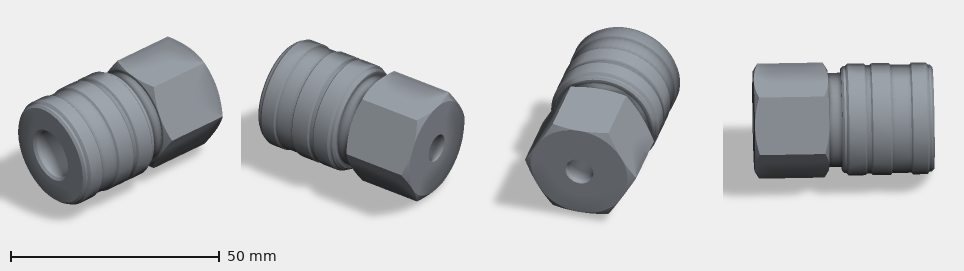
import cadquery as cq
import math

length = 43.0
hex_flats = 24.0
hex_start = 25.2
hex_chamfer_angle = 30.0
neck_radius = 11.25

sleeve_length = 22.05
band_diameter = 26.8
band_radius = band_diameter / 2
groove_radius = 13.0
lip_radius = 12.8
lip_chamfer = 0.55
lip_land = 0.5
shoulder_length = 0.55
band_edge_length = 0.4
front_band_end = 5.5
middle_band_start = 10.0
middle_band_end = 15.1
rear_band_start = 16.1

socket_radius = 6.0
socket_chamfer = 0.6
socket_depth = sleeve_length
passage_radius = 3.5


def revolve_profile(points):
    """Turn a half profile of (radius, y) points around the Y axis."""
    profile = cq.Workplane("XY").polyline(points).close()
    return profile.revolve(360, (0, 0, 0), (0, 1, 0))


def make_hexagon():
    """Hexagonal wrench section with conical chamfers at both ends."""
    apothem = hex_flats / 2
    corner_radius = apothem / math.cos(math.pi / 6)
    chamfer_slope = math.tan(math.radians(hex_chamfer_angle))
    chamfer_length = (corner_radius - apothem) * chamfer_slope
    prism = (
        cq.Workplane("XZ", origin=(0, length, 0))
        .polygon(6, 2 * corner_radius)
        .extrude(length - hex_start)
    )
    envelope = revolve_profile([
        (0, hex_start),
        (apothem, hex_start),
        (corner_radius, hex_start + chamfer_length),
        (corner_radius, length - chamfer_length),
        (apothem, length),
        (0, length),
    ])
    return prism.intersect(envelope)


def make_sleeve():
    """Sleeve with three raised bands and a chamfered lip at each end."""
    lip_end = lip_chamfer + lip_land
    shoulder_end = lip_end + shoulder_length
    return revolve_profile([
        (0, 0),
        (lip_radius - lip_chamfer, 0),
        (lip_radius, lip_chamfer),
        (lip_radius, lip_end),
        (band_radius, shoulder_end),
        (band_radius, front_band_end - band_edge_length),
        (groove_radius, front_band_end),
        (groove_radius, middle_band_start),
        (band_radius, middle_band_start + band_edge_length),
        (band_radius, middle_band_end - band_edge_length),
        (groove_radius, middle_band_end),
        (groove_radius, rear_band_start),
        (band_radius, rear_band_start + band_edge_length),
        (band_radius, sleeve_length - shoulder_end),
        (lip_radius, sleeve_length - lip_end),
        (lip_radius, sleeve_length - lip_chamfer),
        (lip_radius - lip_chamfer, sleeve_length),
        (0, sleeve_length),
    ])


def make_neck():
    """Plain cylinder joining the sleeve to the hexagon."""
    return revolve_profile([
        (0, 0),
        (neck_radius, 0),
        (neck_radius, hex_start),
        (0, hex_start),
    ])


def make_bore():
    """Chamfered socket followed by a narrower passage through the back."""
    return revolve_profile([
        (0, 0),
        (socket_radius + socket_chamfer, 0),
        (socket_radius, socket_chamfer),
        (socket_radius, socket_depth),
        (passage_radius, socket_depth),
        (passage_radius, length),
        (0, length),
    ])


result = make_hexagon().union(make_neck()).union(make_sleeve()).cut(make_bore())